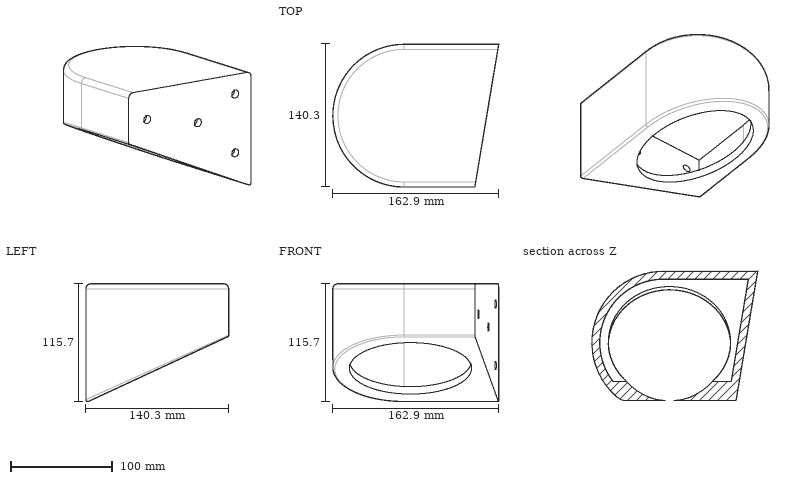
import cadquery as cq
import math

LENGTH = 162.9
WIDTH = 140.3
HEIGHT = 115.7
HALF_WIDTH = WIDTH / 2
SHORT_SIDE_LENGTH = 139.5
SHORT_SIDE_HEIGHT = 50.5
WALL = 8.0
TOP_FILLET = 5.0
RIM_FILLET = 2.0

DRILL_LENGTH = 2.5 * WALL
MOUTH_DIAMETER = 119.9
MOUTH_X = 76.2
MOUTH_Y = -2.6
SCREW_DIAMETER = 8.0
SCREW_POSITIONS = [(-48.9, 85.7), (9.1, 73.1), (51.8, 95.6), (51.8, 35.5)]

SLOPE = math.atan((HEIGHT - SHORT_SIDE_HEIGHT) / WIDTH)
HALF_EDGE_ANGLE = (math.pi / 2 - SLOPE) / 2
SHARP_EDGE_Z = -RIM_FILLET * (1 / math.tan(HALF_EDGE_ANGLE) - 1)
MIDDLE_Z = SHARP_EDGE_Z + HALF_WIDTH * math.tan(SLOPE)

END_SKEW = math.atan((LENGTH - SHORT_SIDE_LENGTH) / WIDTH)
END_MIDDLE_X = (LENGTH + SHORT_SIDE_LENGTH) / 2


def end_x(y):
    """X of the skewed end face at a given Y."""
    return END_MIDDLE_X + y * math.tan(END_SKEW)


def underside_z(y):
    """Z of the sloping underside at a given Y."""
    return MIDDLE_Z - y * math.tan(SLOPE)


def sloped_block(inset):
    """D-shaped block with a sloping underside, every face moved inward by inset."""
    radius = HALF_WIDTH - inset
    end_shift = inset / math.cos(END_SKEW)
    plan = (
        cq.Workplane("XY", origin=(0, 0, SHARP_EDGE_Z))
        .moveTo(end_x(-radius) - end_shift, -radius)
        .lineTo(HALF_WIDTH, -radius)
        .threePointArc((inset, 0), (HALF_WIDTH, radius))
        .lineTo(end_x(radius) - end_shift, radius)
        .close()
        .extrude(HEIGHT - inset - SHARP_EDGE_Z)
    )
    bottom_z = MIDDLE_Z + inset / math.cos(SLOPE)
    drop = WIDTH * math.tan(SLOPE)
    below = (
        cq.Workplane("YZ")
        .moveTo(WIDTH, bottom_z - drop)
        .lineTo(-WIDTH, bottom_z + drop)
        .lineTo(-WIDTH, bottom_z - drop)
        .close()
        .extrude(2 * LENGTH)
        .translate((-LENGTH / 2, 0, 0))
    )
    return plan.cut(below)


def side_edges(face):
    """Edges of a face that follow the straight sides and nose, not the skewed end."""
    return [edge for edge in face.Edges() if edge.Center().x < END_MIDDLE_X - WALL]


def outer_body():
    body = sloped_block(0)
    top_edges = side_edges(body.faces(">Z").val())
    body = body.newObject(top_edges).fillet(TOP_FILLET)
    downward = cq.selectors.DirectionMinMaxSelector(cq.Vector(0, -math.sin(SLOPE), -math.cos(SLOPE)))
    rim_edges = side_edges(body.faces(downward).val())
    return body.newObject(rim_edges).fillet(RIM_FILLET)


def mouth():
    """Round opening square to the sloping underside, reaching just into the cavity."""
    inward = cq.Vector(0, math.sin(SLOPE), math.cos(SLOPE))
    start = cq.Vector(MOUTH_X, MOUTH_Y, underside_z(MOUTH_Y)) - inward * WALL
    return cq.Solid.makeCylinder(MOUTH_DIAMETER / 2, DRILL_LENGTH, start, inward)


def screw_hole(y, z):
    """Hole through the skewed end wall, square to it."""
    inward = cq.Vector(-math.cos(END_SKEW), math.sin(END_SKEW), 0)
    start = cq.Vector(end_x(y), y, z) - inward * WALL
    return cq.Solid.makeCylinder(SCREW_DIAMETER / 2, DRILL_LENGTH, start, inward)


result = outer_body().cut(sloped_block(WALL)).cut(mouth())
for screw_y, screw_z in SCREW_POSITIONS:
    result = result.cut(screw_hole(screw_y, screw_z))